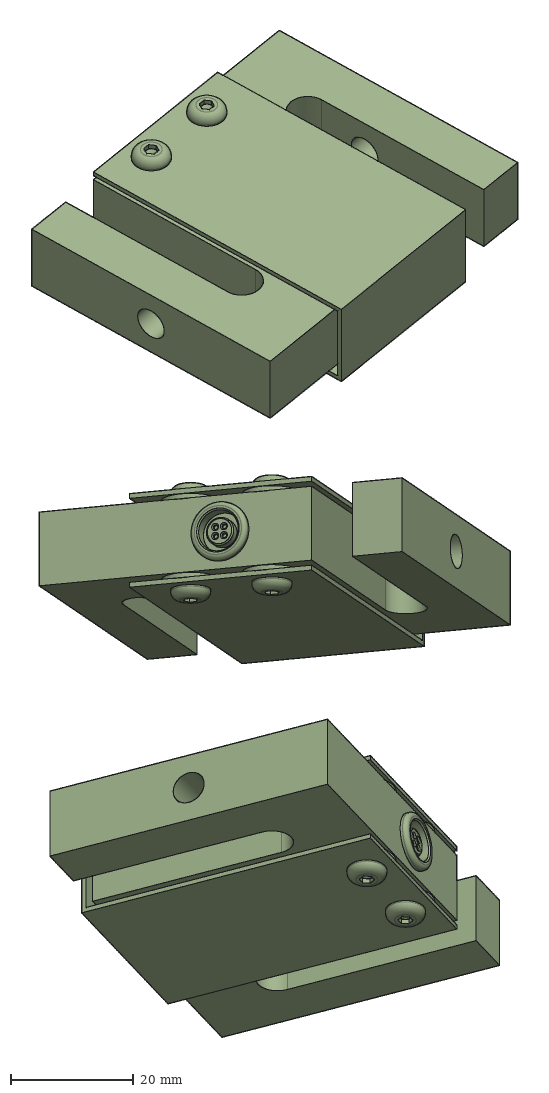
import cadquery as cq
import math

BODY_X = 50.8
BODY_Y = 63.5
BODY_Z = 12.5

SLOT_WIDTH = 7.1
SLOT_WEB = 12.7
CORE_Y = 31.9
LOAD_HOLE_DIAMETER = 5.65

COVER_Z = 15.9
COVER_THICKNESS = 0.8
COVER_OVERHANG = 2.05

SCREW_INSET = 5.0
SCREW_SPACING = 14.2
WASHER_DIAMETER = 9.65
HEAD_DIAMETER = 6.6
HEAD_HEIGHT = 1.8
HEAD_ROUNDING = 1.5
HEX_ACROSS_CORNERS = 2.5
HEX_DEPTH = 0.8
HEX_CONE_DEPTH = 0.65

CONNECTOR_DIAMETER = 9.9
CONNECTOR_LENGTH = 1.3
CONNECTOR_ROUNDING = 0.8
BORE_DIAMETER = 6.9
BORE_DEPTH = 2.55
BORE_CHAMFER = 0.25
INSERT_DIAMETER = 4.75
INSERT_SETBACK = 0.75
INSERT_CHAMFER = 0.25
CONTACT_SPACING = 1.5
CONTACT_DIAMETER = 0.75
CONTACT_MOUTH_DIAMETER = 1.2
CONTACT_DEPTH = 0.65
COUNTERSINK_ANGLE = 90

CORE_EDGE = CORE_Y / 2
COVER_FACE = COVER_Z / 2


def make_slot(side):
    """Cutter for the slot on the +Y (side=1) or -Y (side=-1) edge of the core."""
    closed_end = -side * (BODY_X / 2 - SLOT_WEB)
    round_centre = closed_end + side * SLOT_WIDTH / 2
    slot_y = side * (CORE_EDGE + SLOT_WIDTH / 2)
    open_length = side * BODY_X / 2 - round_centre
    straight = (
        cq.Workplane("XY")
        .center(round_centre + open_length / 2, slot_y)
        .rect(abs(open_length), SLOT_WIDTH)
        .extrude(BODY_Z / 2, both=True)
    )
    round_end = (
        cq.Workplane("XY")
        .center(round_centre, slot_y)
        .circle(SLOT_WIDTH / 2)
        .extrude(BODY_Z / 2, both=True)
    )
    return straight.union(round_end)


def make_body():
    """S-shaped block with a load hole through each outer arm."""
    body = cq.Workplane("XY").box(BODY_X, BODY_Y, BODY_Z)
    for side in (1, -1):
        load_hole = (
            cq.Workplane("XZ", origin=(0, side * CORE_EDGE, 0))
            .circle(LOAD_HOLE_DIAMETER / 2)
            .extrude(-side * (BODY_Y / 2 - CORE_EDGE))
        )
        body = body.cut(make_slot(side)).cut(load_hole)
    return body


def make_cover():
    """Thin U-shaped sheet, open toward -X."""
    cover_x = BODY_X + COVER_OVERHANG
    outer = cq.Workplane("XY").box(cover_x, CORE_Y, COVER_Z)
    inner = (
        cq.Workplane("XY")
        .box(cover_x, CORE_Y, COVER_Z - 2 * COVER_THICKNESS)
        .translate((-COVER_THICKNESS, 0, 0))
    )
    return outer.cut(inner).translate((COVER_OVERHANG / 2, 0, 0))


def make_upper_screw():
    """Washer and button head with a cone-bottomed hex socket, on the +Z side at X = Y = 0."""
    washer = (
        cq.Workplane("XY", origin=(0, 0, BODY_Z / 2))
        .circle(WASHER_DIAMETER / 2)
        .extrude(COVER_FACE - COVER_THICKNESS - BODY_Z / 2)
    )
    head = (
        cq.Workplane("XY", origin=(0, 0, COVER_FACE))
        .circle(HEAD_DIAMETER / 2)
        .extrude(HEAD_HEIGHT)
        .faces(">Z")
        .edges()
        .fillet(HEAD_ROUNDING)
    )
    hex_socket = (
        cq.Workplane("XY", origin=(0, 0, COVER_FACE + HEAD_HEIGHT))
        .transformed(rotate=(0, 0, 90))
        .polygon(6, HEX_ACROSS_CORNERS)
        .extrude(-HEX_DEPTH)
    )
    hex_inner_radius = HEX_ACROSS_CORNERS / 2 * math.cos(math.pi / 6)
    hex_floor = cq.Vector(0, 0, COVER_FACE + HEAD_HEIGHT - HEX_DEPTH)
    cone = cq.Solid.makeCone(hex_inner_radius, 0, HEX_CONE_DEPTH, hex_floor, cq.Vector(0, 0, -1))
    return washer, head.cut(hex_socket).cut(cq.Workplane(cone))


def add_screws(part):
    """Two screws with washers on each of the +Z and -Z sides."""
    screw_x = -BODY_X / 2 + SCREW_INSET
    for screw_y in (-SCREW_SPACING / 2, SCREW_SPACING / 2):
        for piece in make_upper_screw():
            upper = piece.translate((screw_x, screw_y, 0))
            part = part.union(upper).union(upper.mirror("XY"))
    return part


def connector_cylinder(diameter, start, end):
    """Cylinder along X; start and end are depths from the connector's front rim."""
    rim_x = -BODY_X / 2 - CONNECTOR_LENGTH
    return (
        cq.Workplane("YZ", origin=(rim_x + start, 0, 0))
        .circle(diameter / 2)
        .extrude(end - start)
    )


def make_insert():
    """Round insert with four countersunk contact holes in its front face."""
    return (
        connector_cylinder(INSERT_DIAMETER, INSERT_SETBACK, BORE_DEPTH)
        .faces("<X")
        .chamfer(INSERT_CHAMFER)
        .faces("<X")
        .workplane()
        .rect(CONTACT_SPACING, CONTACT_SPACING, forConstruction=True)
        .vertices()
        .cskHole(CONTACT_DIAMETER, CONTACT_MOUTH_DIAMETER, COUNTERSINK_ANGLE, CONTACT_DEPTH)
    )


def add_connector(part):
    """Rounded shell with a chamfered bore that surrounds the contact insert."""
    shell = connector_cylinder(CONNECTOR_DIAMETER, 0, CONNECTOR_LENGTH)
    shell = shell.faces("<X").edges().fillet(CONNECTOR_ROUNDING)
    bore = connector_cylinder(BORE_DIAMETER, 0, BORE_DEPTH)
    shell = (
        shell.cut(bore)
        .faces("<X")
        .edges(cq.selectors.RadiusNthSelector(0))
        .chamfer(BORE_CHAMFER)
    )
    return part.cut(bore).union(shell).union(make_insert())


result = make_body().union(make_cover())
result = add_screws(result)
result = add_connector(result)